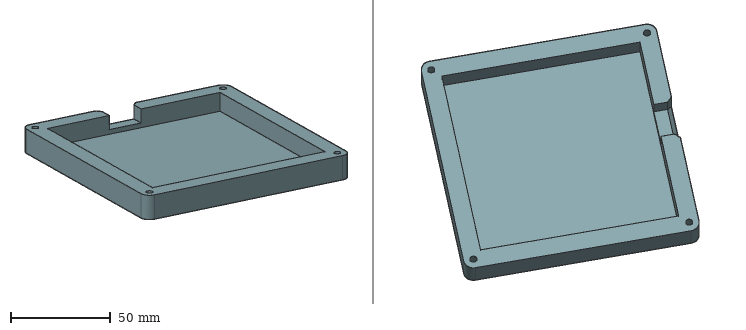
import cadquery as cq

side = 120.0
height = 13.0
corner_radius = 5.0

pocket_side = 101.0
floor_thickness = 3.0
wall = (side - pocket_side) / 2

hole_diameter = 3.4
hole_spacing = side - 2 * corner_radius

notch_width = 18.5
notch_floor = 5.5
notch_center_y = -5.0
notch_chamfer = 2.5


def tray_body():
    """Solid block with rounded vertical edges, standing on Z = 0."""
    block = cq.Workplane("XY").box(side, side, height, centered=(True, True, False))
    return block.edges("|Z").fillet(corner_radius)


def pocket():
    """Square cavity from the floor up to the rim."""
    return (
        cq.Workplane("XY", origin=(0, 0, floor_thickness))
        .rect(pocket_side, pocket_side)
        .extrude(height - floor_thickness)
    )


def screw_holes():
    """Four through holes, one near each corner."""
    return (
        cq.Workplane("XY")
        .rect(hole_spacing, hole_spacing, forConstruction=True)
        .vertices()
        .circle(hole_diameter / 2)
        .extrude(height)
    )


def notch_section(x, margin):
    """Notch outline in the plane at x, widened by margin at both sides and the bottom."""
    width = notch_width + 2 * margin
    bottom = notch_floor - margin
    return (
        cq.Workplane("YZ", origin=(x, notch_center_y, 0))
        .moveTo(-width / 2, bottom)
        .lineTo(width / 2, bottom)
        .lineTo(width / 2, height)
        .lineTo(-width / 2, height)
        .close()
    )


def notch():
    """Straight channel through the wall with a flared mouth on the outer face."""
    outer_x = -side / 2
    channel = notch_section(outer_x, 0).extrude(wall)
    mouth_wire = notch_section(outer_x, notch_chamfer).wire().val()
    throat_wire = notch_section(outer_x + notch_chamfer, 0).wire().val()
    flare = cq.Solid.makeLoft([mouth_wire, throat_wire], True)
    return channel.union(cq.Workplane(obj=flare))


result = tray_body().cut(pocket()).cut(screw_holes()).cut(notch())